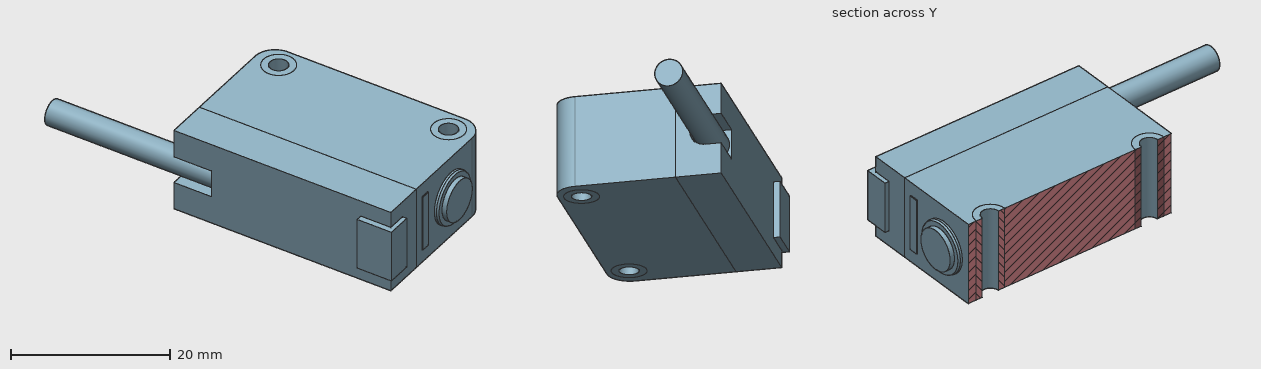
import cadquery as cq


body_length = 32.4
body_width = 21.85
thickness = 12.2
cover_width = 5.9
housing_width = body_width - cover_width
corner_radius = 3.0

bushing_diameter = 4.5
bushing_bore = 2.55
bushing_end_inset = 3.5
bushing_side_inset = 3.0
bushing_y = body_width - bushing_side_inset

cable_diameter = 3.6
cable_free_length = 19.45
slot_depth = 5.6
slot_width = 4.0
cable_y = 2.1

lens_y = 13.9
lens_reach = 1.35
flange_diameter = 7.55
flange_height = 0.65
flange_straight = 0.3
flange_taper = 0.1
barrel_diameter = 5.95

window_y = 7.9
window_width = 1.35
window_height = 8.2
window_relief = 0.15

plate_height = 7.55
plate_side_thickness = 0.85
plate_end_thickness = 0.65
plate_side_length = 5.1
plate_end_length = 3.55


def make_block(length, width, height):
    """Block starting at X = 0 and Y = 0, centred on Z."""
    return cq.Workplane("XY").box(length, width, height, centered=(False, False, True))


def make_cylinder_x(start_x, y, diameter, length):
    """Cylinder along +X, centred on Z = 0."""
    return cq.Workplane("YZ", origin=(start_x, y, 0)).circle(diameter / 2).extrude(length)


def make_cylinder_z(x, y, diameter):
    """Cylinder through the full body thickness."""
    return cq.Workplane("XY", origin=(x, y, -thickness / 2)).circle(diameter / 2).extrude(thickness)


bushing_centres = [
    (bushing_end_inset, bushing_y),
    (body_length - bushing_end_inset, bushing_y),
]


def make_housing():
    housing = make_block(body_length, housing_width, thickness)
    housing = housing.edges("|Z and >Y").fillet(corner_radius)
    housing = housing.translate((0, cover_width, 0))
    for x, y in bushing_centres:
        housing = housing.cut(make_cylinder_z(x, y, bushing_diameter))
    return housing


def make_cover():
    """Cover with a round-bottomed cable slot open to its end and outer face."""
    cover = make_block(body_length, cover_width, thickness)
    slot_opening = make_block(slot_depth, cable_y, slot_width)
    slot_bottom = make_cylinder_x(0, cable_y, slot_width, slot_depth)
    return cover.cut(slot_opening).cut(slot_bottom)


def make_bushing(x, y):
    return make_cylinder_z(x, y, bushing_diameter).cut(make_cylinder_z(x, y, bushing_bore))


def make_cable():
    return make_cylinder_x(-cable_free_length, cable_y, cable_diameter, cable_free_length + slot_depth)


def make_lens():
    flange = make_cylinder_x(body_length, lens_y, flange_diameter, flange_height)
    flange = flange.faces(">X").chamfer(flange_height - flange_straight, flange_taper)
    barrel = make_cylinder_x(body_length, lens_y, barrel_diameter, lens_reach)
    return flange.union(barrel)


def make_window():
    window = make_block(window_relief, window_width, window_height)
    return window.translate((body_length, window_y - window_width / 2, 0))


def make_angle_plate():
    """Two legs meeting in a square corner outside the cover."""
    outer_x = body_length + plate_end_thickness
    outer_y = -plate_side_thickness
    plate = make_block(plate_side_length, plate_end_length, plate_height)
    plate = plate.translate((outer_x - plate_side_length, outer_y, 0))
    return plate.cut(make_block(body_length, cover_width, thickness))


housing = make_housing()
cover = make_cover()
bushings = [make_bushing(x, y) for x, y in bushing_centres]
cable = make_cable()
lens = make_lens()
window = make_window()
angle_plate = make_angle_plate()

result = cq.Compound.makeCompound([
    housing.solids().val(),
    cover.solids().val(),
    *[bushing.solids().val() for bushing in bushings],
    cable.solids().val(),
    lens.solids().val(),
    window.solids().val(),
    angle_plate.solids().val(),
])